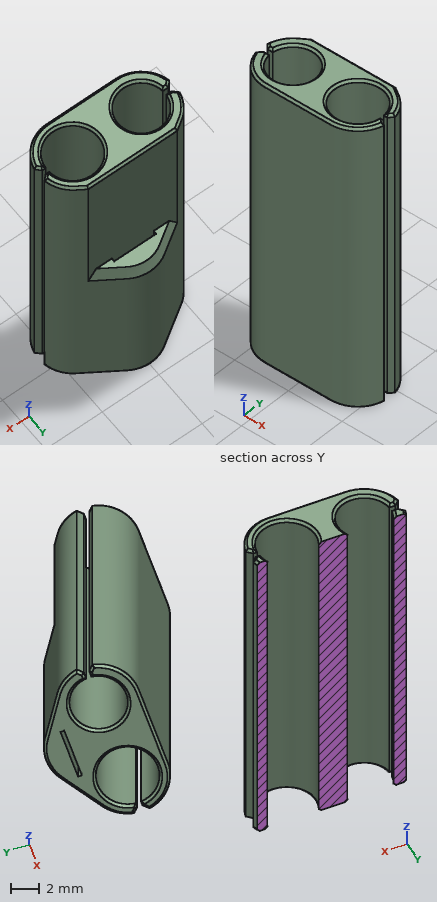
import cadquery as cq
import math

height = 26.0
bore_spacing = 6.05
left_bore_radius = 2.05
right_bore_radius = 2.24
corner_radius = 3.0
spine_offset = 2.0
spine_height = 14.0
spine_chamfer_rise = 1.0
spine_chamfer_run = 0.4
gap_width = 0.4
gap_mouth_chamfer = 0.4
rim_chamfer = 0.2
slot_width = 3.7
slot_depth = 0.29

bore_x = bore_spacing / 2
body_back = corner_radius
side_end = bore_x + corner_radius
crest_y = spine_offset + corner_radius


def rounded_triangle(radius):
    """Outline wrapped around equal circles at the two bores and the spine crest."""
    slope = math.atan2(spine_offset, bore_x)
    normal_x = radius * math.sin(slope)
    normal_y = radius * math.cos(slope)
    mid_angle = -slope / 2
    side_x = bore_x + radius * math.cos(mid_angle)
    side_y = radius * math.sin(mid_angle)
    return (
        cq.Workplane("XY")
        .moveTo(-bore_x, -radius)
        .lineTo(bore_x, -radius)
        .threePointArc((side_x, side_y), (bore_x + normal_x, normal_y))
        .lineTo(normal_x, spine_offset + normal_y)
        .threePointArc((0, spine_offset + radius), (-normal_x, spine_offset + normal_y))
        .lineTo(-bore_x - normal_x, normal_y)
        .threePointArc((-side_x, side_y), (-bore_x, -radius))
        .close()
    )


def side_gap(side):
    """Slit from a bore out through its side wall, flared at the mouth."""
    half_gap = gap_width / 2
    mouth_y = half_gap + gap_mouth_chamfer
    mouth_x = bore_x + math.sqrt(corner_radius**2 - mouth_y**2)
    flare_start = mouth_x - gap_mouth_chamfer
    flare_reach = 2 * gap_mouth_chamfer
    return (
        cq.Workplane("XY")
        .polyline([
            (side * bore_x, -half_gap),
            (side * flare_start, -half_gap),
            (side * (flare_start + flare_reach), -half_gap - flare_reach),
            (side * (flare_start + flare_reach), half_gap + flare_reach),
            (side * flare_start, half_gap),
            (side * bore_x, half_gap),
        ])
        .close()
        .extrude(height)
    )


def box_behind_body(width, depth, bottom, top):
    """Box standing on the body's back plane and reaching away from it."""
    return (
        cq.Workplane("XY", origin=(0, body_back + depth / 2, bottom))
        .rect(width, depth)
        .extrude(top - bottom)
    )


part = rounded_triangle(corner_radius).extrude(height)
spine_depth = crest_y - body_back
part = part.cut(box_behind_body(2 * side_end, spine_depth, spine_height, height))

for side, bore_radius in ((-1, left_bore_radius), (1, right_bore_radius)):
    bore_plane = cq.Plane(origin=(side * bore_x, 0, 0), xDir=(side, 0, 0), normal=(0, 0, 1))
    bore = cq.Workplane(bore_plane).circle(bore_radius).extrude(height)
    part = part.cut(bore).cut(side_gap(side))

part = part.faces("<Z or >Z").edges().chamfer(rim_chamfer)

chamfer_base = spine_height - spine_chamfer_rise
taper = math.degrees(math.atan2(spine_chamfer_run, spine_chamfer_rise))
tapered_spine = (
    rounded_triangle(corner_radius)
    .extrude(spine_chamfer_rise, taper=taper)
    .translate((0, 0, chamfer_base))
)
spine_top = box_behind_body(2 * side_end, spine_depth, chamfer_base, spine_height)
part = part.cut(spine_top.cut(tapered_spine))

result = part.cut(box_behind_body(slot_width, slot_depth, 0, spine_height))